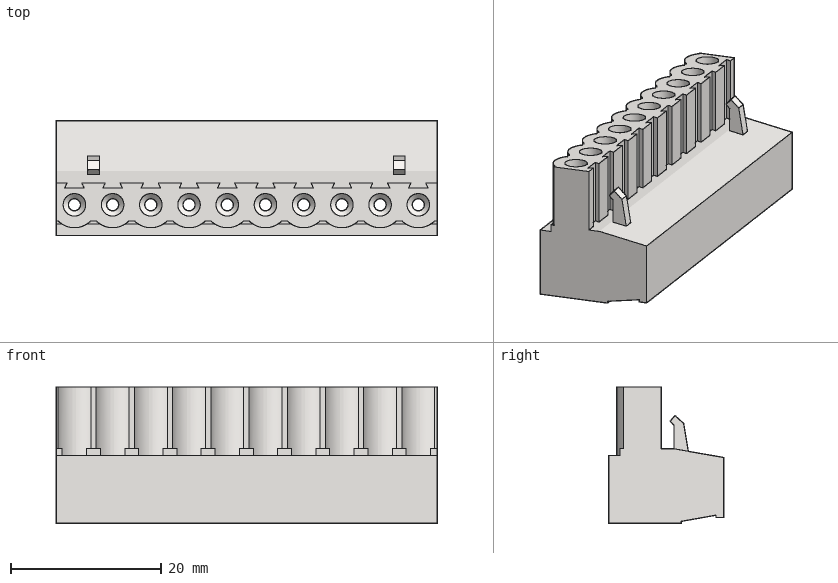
import cadquery as cq
import math


length = 50.7
pole_count = 10
row_span = 45.7
pitch = row_span / (pole_count - 1)
first_pole_x = 2.45
pole_y = 4.1
pole_xs = [first_pole_x + i * pitch for i in range(pole_count)]
gap_xs = [first_pole_x + (i - 0.5) * pitch for i in range(pole_count + 1)]

depth = 15.3
shoulder_z = 9.0
deck_z = 9.95
deck_end_y = 8.55
back_top_z = 8.75
foot_end_y = 9.7
foot_step = 0.25
ramp_end_z = 1.05
lip_start_y = 14.25
lip_z = 0.75

height = 18.15
tower_back_y = 7.0
gap_face_y = 2.0
pad_face_y = 1.5
lobe_face_y = 1.05
lobe_flat = 0.45
lobe_radius = math.hypot(lobe_flat / 2, pole_y - lobe_face_y)

slot_mouth = 2.0
slot_floor = 2.6
slot_depth = 0.65

bore_diameter = 1.55
counterbore_diameter = 3.0
counterbore_depth = 1.1
cone_depth = (counterbore_diameter - bore_diameter) / 2

latch_width = 1.55
latch_xs = [gap_xs[1], gap_xs[-2]]
latch_front_y = 8.65
latch_back_y = 10.7
latch_root_z = 9.0
latch_neck_z = 13.05
latch_nose = (8.15, 13.6)
latch_tip = (8.8, 14.35)
latch_bend = (10.0, 13.3)


def make_housing():
    """Lower body with a sloping top at the back and a ramp under it."""
    profile = [
        (0, 0),
        (foot_end_y, 0),
        (foot_end_y, foot_step),
        (lip_start_y, ramp_end_z),
        (lip_start_y, lip_z),
        (depth, lip_z),
        (depth, back_top_z),
        (deck_end_y, deck_z),
        (pad_face_y, deck_z),
        (pad_face_y, shoulder_z),
        (0, shoulder_z),
    ]
    return cq.Workplane("YZ").polyline(profile).close().extrude(length)


def make_tower():
    """Upright wall fronted by one round lobe per pole, each with a narrow flat."""
    flat_angle = math.asin(lobe_flat / 2 / lobe_radius)
    gap_angle = math.acos((pole_y - gap_face_y) / lobe_radius)
    mid_angle = (flat_angle + gap_angle) / 2

    def lobe_point(pole_x, angle):
        """Point on a lobe at an angle from the frontward direction, positive to +X."""
        return (pole_x + lobe_radius * math.sin(angle), pole_y - lobe_radius * math.cos(angle))

    outline = cq.Workplane("XY", origin=(0, 0, shoulder_z)).moveTo(0, tower_back_y).lineTo(0, gap_face_y)
    for x in pole_xs:
        outline = (
            outline.lineTo(*lobe_point(x, -gap_angle))
            .threePointArc(lobe_point(x, -mid_angle), lobe_point(x, -flat_angle))
            .lineTo(*lobe_point(x, flat_angle))
            .threePointArc(lobe_point(x, mid_angle), lobe_point(x, gap_angle))
        )
    outline = outline.lineTo(length, gap_face_y).lineTo(length, tower_back_y).close()
    return outline.extrude(height - shoulder_z)


def make_slots():
    """Dovetail slots behind the poles, from the deck to the top."""
    slots = cq.Workplane("XY")
    floor_y = tower_back_y - slot_depth
    for x in pole_xs:
        outline = [
            (x - slot_mouth / 2, tower_back_y),
            (x - slot_floor / 2, floor_y),
            (x + slot_floor / 2, floor_y),
            (x + slot_mouth / 2, tower_back_y),
        ]
        slot = cq.Workplane("XY", origin=(0, 0, deck_z)).polyline(outline).close().extrude(height - deck_z)
        slots = slots.add(slot)
    return slots.combine()


def make_screw_holes():
    """Through bores with a counterbore that narrows in a cone."""
    bore_radius = bore_diameter / 2
    counterbore_radius = counterbore_diameter / 2
    counterbore_z = height - counterbore_depth
    half_section = [
        (0, 0),
        (bore_radius, 0),
        (bore_radius, counterbore_z - cone_depth),
        (counterbore_radius, counterbore_z),
        (counterbore_radius, height),
        (0, height),
    ]
    hole = cq.Workplane("XZ").polyline(half_section).close().revolve(360, (0, 0), (0, 1))
    holes = cq.Workplane("XY")
    for x in pole_xs:
        holes = holes.add(hole.translate((x, pole_y, 0)))
    return holes.combine()


def make_latch(center_x):
    """Hooked finger rising from the housing behind the tower."""
    profile = [
        (latch_front_y, latch_root_z),
        (latch_front_y, latch_neck_z),
        latch_nose,
        latch_tip,
        latch_bend,
        (latch_back_y, latch_root_z),
    ]
    start_x = center_x - latch_width / 2
    return cq.Workplane("YZ", origin=(start_x, 0, 0)).polyline(profile).close().extrude(latch_width)


result = make_housing().union(make_tower())
for latch_x in latch_xs:
    result = result.union(make_latch(latch_x))
result = result.cut(make_slots()).cut(make_screw_holes())